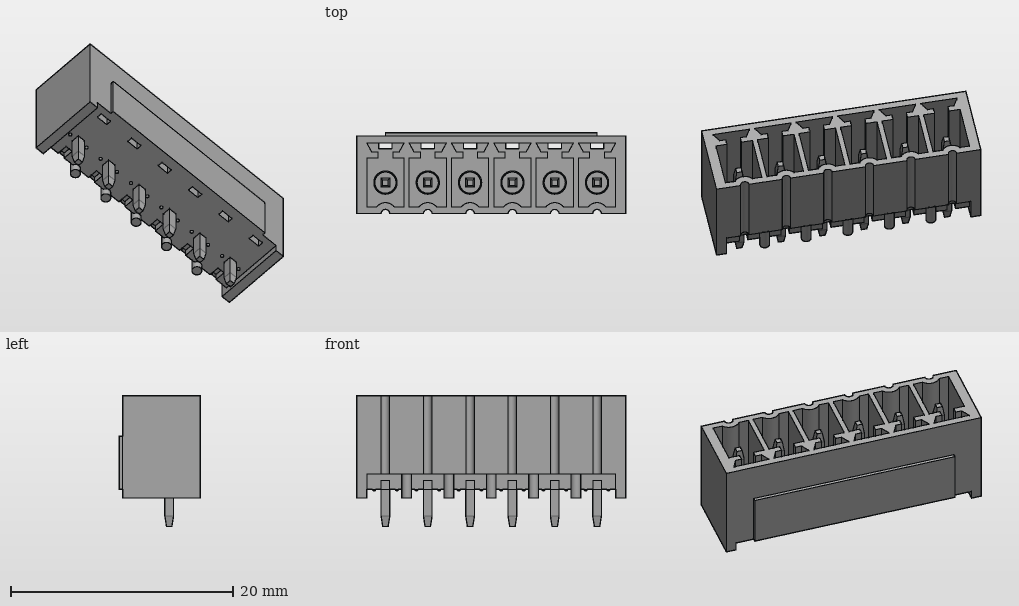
import cadquery as cq


length = 24.25
depth = 7.0
top_z = 11.8
foot_bottom_z = 2.57
skirt_bottom_z = 3.37

position_count = 6
pitch = 3.81
first_pin_x = (length - (position_count - 1) * pitch) / 2
pin_y = 2.8
pin_xs = [first_pin_x + i * pitch for i in range(position_count)]

pin_width = 0.8
pin_tip_width = 0.5
pin_taper = 0.95
pin_top_z = 10.6

pocket_width = 3.35
pocket_floor_z = 5.4
pocket_front_y = 0.6
pocket_back_y = 5.0
foot_width = first_pin_x - pocket_width / 2

neck_width = 1.32
dovetail_front_width = 2.45
dovetail_front_y = 5.54
dovetail_back_y = 6.36

window_width = 1.18
window_depth = 0.5

groove_radius = 0.38
bulge_radius = 1.0

collar_bottom_radius = 1.05
collar_top_radius = 0.95
collar_height = 0.5

recess_depth = 0.57
recess_top_z = 4.76
notch_width = 2 * groove_radius
notch_top_z = 4.18
notch_back_y = 1.6

peg_diameter = 0.9
standoff_diameter = 0.3
standoff_offset = 1.025

pad_thickness = 0.3
pad_top_z = 8.15


def box(x_min, x_max, y_min, y_max, z_min, z_max):
    size = (x_max - x_min, y_max - y_min, z_max - z_min)
    return cq.Workplane("XY").box(*size, centered=False).translate((x_min, y_min, z_min))


def centred_box(x, width, y_min, y_max, z_min, z_max):
    return box(x - width / 2, x + width / 2, y_min, y_max, z_min, z_max)


def cylinder(x, y, radius, z_min, z_max):
    return cq.Workplane("XY", origin=(x, y, z_min)).circle(radius).extrude(z_max - z_min)


def tapered_end(x, base_z, tip_z):
    """Pin end that narrows from the full width to the tip width."""
    return (
        cq.Workplane("XY", origin=(x, pin_y, base_z))
        .rect(pin_width, pin_width)
        .workplane(offset=tip_z - base_z)
        .rect(pin_tip_width, pin_tip_width)
        .loft()
    )


def contact_pin(x):
    lower_z = pin_taper
    upper_z = pin_top_z - pin_taper
    shank = centred_box(x, pin_width, pin_y - pin_width / 2, pin_y + pin_width / 2, lower_z, upper_z)
    return shank.union(tapered_end(x, lower_z, 0)).union(tapered_end(x, upper_z, pin_top_z))


def pocket(x):
    """Pocket with its keyway, less the bulge around the groove and the collar around the pin."""
    main = centred_box(x, pocket_width, pocket_front_y, pocket_back_y, pocket_floor_z, top_z)
    neck = centred_box(x, neck_width, pocket_back_y, dovetail_front_y, pocket_floor_z, top_z)
    dovetail = (
        cq.Workplane("XY", origin=(x, 0, pocket_floor_z))
        .moveTo(-dovetail_front_width / 2, dovetail_front_y)
        .lineTo(dovetail_front_width / 2, dovetail_front_y)
        .lineTo(pocket_width / 2, dovetail_back_y)
        .lineTo(-pocket_width / 2, dovetail_back_y)
        .close()
        .extrude(top_z - pocket_floor_z)
    )
    collar = (
        cq.Workplane("XY", origin=(x, pin_y, pocket_floor_z))
        .circle(collar_bottom_radius)
        .workplane(offset=collar_height)
        .circle(collar_top_radius)
        .loft()
    )
    bulge = cylinder(x, 0, bulge_radius, pocket_floor_z, top_z)
    return main.union(neck).union(dovetail).cut(bulge).cut(collar)


def floor_window(x):
    front_y = dovetail_back_y - window_depth
    return centred_box(x, window_width, front_y, dovetail_back_y, skirt_bottom_z, pocket_floor_z)


def front_groove(x):
    return cylinder(x, 0, groove_radius, skirt_bottom_z, top_z)


def skirt_notch(x):
    return centred_box(x, notch_width, 0, notch_back_y, skirt_bottom_z, notch_top_z)


def standoff(x):
    return cq.Workplane("XY").sphere(standoff_diameter / 2).translate((x, pin_y, skirt_bottom_z))


def build_housing(pins):
    body = box(0, length, 0, depth, foot_bottom_z, top_z)
    body = body.union(box(pin_xs[0], pin_xs[-1], depth, depth + pad_thickness, skirt_bottom_z, pad_top_z))

    inner_left = foot_width
    inner_right = length - foot_width
    body = body.cut(box(inner_left, inner_right, 0, depth, foot_bottom_z, skirt_bottom_z))
    body = body.cut(box(inner_left, inner_right, 0, recess_depth, skirt_bottom_z, recess_top_z))

    for x in pin_xs:
        for cutter in (pocket(x), floor_window(x), front_groove(x), skirt_notch(x)):
            body = body.cut(cutter)
        for side in (-1, 1):
            body = body.union(standoff(x + side * standoff_offset))

    peg_radius = peg_diameter / 2
    for x in pin_xs[:-1]:
        body = body.union(cylinder(x + pitch / 2, peg_radius, peg_radius, foot_bottom_z, recess_top_z))

    for pin in pins:
        body = body.cut(pin)
    return body


contact_pins = [contact_pin(x) for x in pin_xs]
housing = build_housing(contact_pins)

bodies = [housing, *contact_pins]
result = cq.Compound.makeCompound([body.solids().val() for body in bodies])